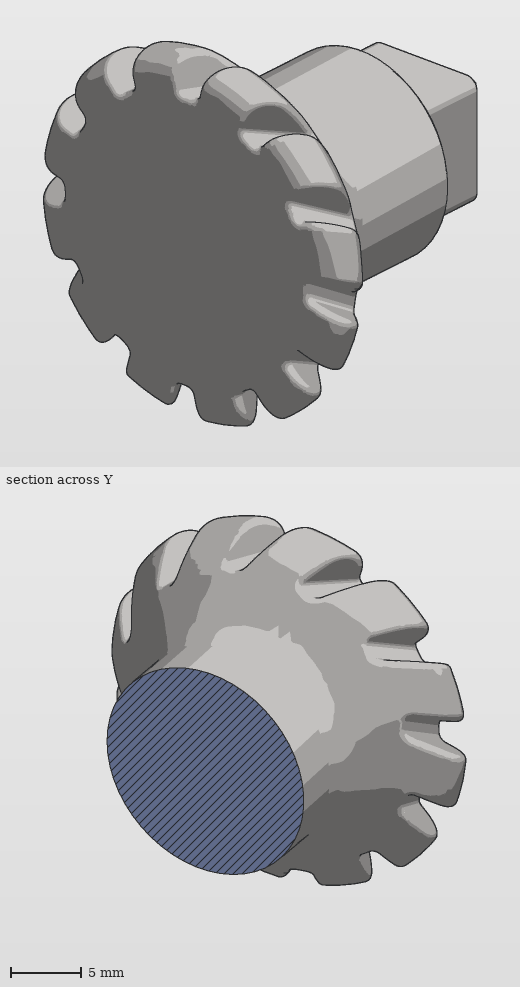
import cadquery as cq
import math

FLANGE_LENGTH = 10.0
BODY_LENGTH = 10.0
SQUARE_LENGTH = 7.2

BODY_DIAMETER = 16.42
BODY_END_BEVEL = 0.75
SQUARE_SIDE = 10.0
SQUARE_BEVEL = 1.0

FLANGE_DIAMETER = 28.85
RIM_RADIUS = 2.0
RIM_SWEEP = 127.0
WAIST_AXIAL = 6.15
WAIST_RADIUS = 10.85

SLOT_COUNT = 12
SLOT_FLOOR_WIDTH = 1.3
SLOT_DRAFT = 12.0
SLOT_FLOOR_RADIUS = 11.5
SLOT_SLANT = 30.0
SLOT_ROUNDING = 0.5
CUTTER_HEIGHT = 5.75
CUTTER_LENGTH = 4 * FLANGE_LENGTH

TOLERANCE = 0.003


def turn_flange():
    rim_center_radius = FLANGE_DIAMETER / 2 - RIM_RADIUS
    body_radius = BODY_DIAMETER / 2

    def rim_point(sweep):
        angle = math.radians(sweep)
        return (
            rim_center_radius + RIM_RADIUS * math.sin(angle),
            RIM_RADIUS * (1 - math.cos(angle)),
        )

    end_angle = math.radians(RIM_SWEEP)
    rim_end_direction = (math.cos(end_angle), math.sin(end_angle))
    return (
        cq.Workplane("XY")
        .lineTo(rim_center_radius, 0)
        .threePointArc(rim_point(RIM_SWEEP / 2), rim_point(RIM_SWEEP))
        .spline(
            [(WAIST_RADIUS, WAIST_AXIAL), (body_radius, FLANGE_LENGTH)],
            tangents=[rim_end_direction, (0, 1)],
            includeCurrent=True,
        )
        .lineTo(0, FLANGE_LENGTH)
        .close()
        .revolve(360, (0, 0), (0, 1))
    )


def slot_cutter():
    half_floor = SLOT_FLOOR_WIDTH / 2
    half_mouth = half_floor + CUTTER_HEIGHT * math.tan(math.radians(SLOT_DRAFT))
    return (
        cq.Workplane("XZ")
        .polyline(
            [
                (-half_floor, 0),
                (half_floor, 0),
                (half_mouth, CUTTER_HEIGHT),
                (-half_mouth, CUTTER_HEIGHT),
            ]
        )
        .close()
        .extrude(CUTTER_LENGTH / 2, both=True)
        .edges("|Y and <Z")
        .fillet(SLOT_ROUNDING)
        .rotate((0, 0, 0), (0, 0, 1), -SLOT_SLANT)
        .translate((0, 0, SLOT_FLOOR_RADIUS))
    )


def is_slot_outline(edge):
    """True for an edge where a slot breaks the outer surface of the flange."""
    if edge.geomType() == "LINE":
        return abs(edge.Center().y) < TOLERANCE
    if edge.geomType() == "CIRCLE":
        center = edge.arcCenter()
        return math.hypot(center.x, center.z) > TOLERANCE
    return all(vertex.Y < FLANGE_LENGTH - TOLERANCE for vertex in edge.Vertices())


def slotted_flange():
    flange = turn_flange()
    for i in range(SLOT_COUNT):
        turn = i * 360 / SLOT_COUNT
        flange = flange.cut(slot_cutter().rotate((0, 0, 0), (0, 1, 0), turn))
    solid = flange.solids().val()
    outlines = [edge for edge in solid.Edges() if is_slot_outline(edge)]
    return cq.Workplane(solid.fillet(SLOT_ROUNDING, outlines))


def turned_body():
    return (
        cq.Workplane("XZ", origin=(0, FLANGE_LENGTH, 0))
        .circle(BODY_DIAMETER / 2)
        .extrude(-BODY_LENGTH)
        .faces(">Y")
        .chamfer(BODY_END_BEVEL)
    )


def square_drive():
    return (
        cq.Workplane("XZ", origin=(0, FLANGE_LENGTH + BODY_LENGTH, 0))
        .rect(SQUARE_SIDE, SQUARE_SIDE)
        .extrude(-SQUARE_LENGTH)
        .edges("|Y")
        .fillet(SQUARE_BEVEL)
        .faces(">Y")
        .chamfer(SQUARE_BEVEL)
    )


result = slotted_flange().union(turned_body()).union(square_drive()).solids()